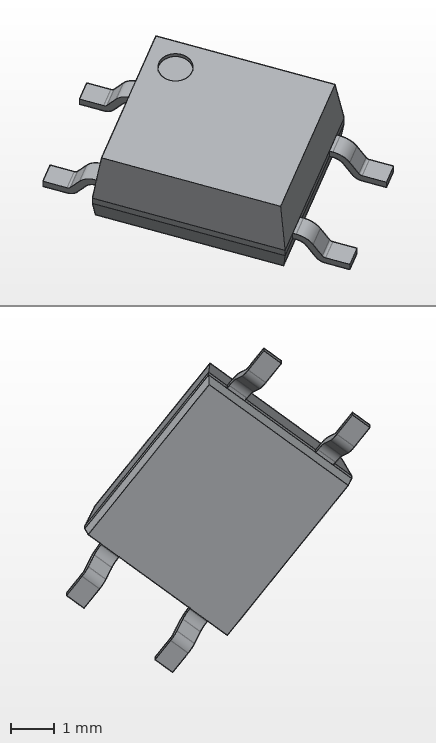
import cadquery as cq
import math

total_length = 7.4
total_height = 2.1
body_length = 4.65
body_width = 4.1
draft_angle = 7.0
standoff = 0.11

lead_thickness = 0.19
lead_width = 0.5
lead_pitch = 2.54
lead_top = 0.76
foot_length = 0.585
lower_inner_radius = 0.095
upper_inner_radius = 0.3
bend_angle = math.radians(55.0)

band_bottom = lead_top - lead_thickness

mark_diameter = 0.8
mark_depth = 0.1
mark_x = -1.435
mark_y = 1.16


def tapered_block(start_z, height):
    """Block on the body outline that narrows away from start_z; a negative height goes down."""
    return (
        cq.Workplane("XY", origin=(0, 0, start_z))
        .rect(body_length, body_width)
        .extrude(height, taper=draft_angle)
    )


def make_cover():
    """Upper half of the body, with the shallow round mark."""
    mark = (
        cq.Workplane("XY", origin=(mark_x, mark_y, total_height - mark_depth))
        .circle(mark_diameter / 2)
        .extrude(mark_depth)
    )
    return tapered_block(lead_top, total_height - lead_top).cut(mark)


def make_band():
    """Straight-sided plate between the cover and the base."""
    return (
        cq.Workplane("XY", origin=(0, 0, band_bottom))
        .rect(body_length, body_width)
        .extrude(lead_thickness)
    )


def make_base():
    """Lower half of the body."""
    return tapered_block(band_bottom, standoff - band_bottom)


def make_left_lead(y):
    """Gull-wing lead on the -X side: a strip swept along its centre line."""
    tip_x = -total_length / 2
    foot_z = lead_thickness / 2
    shoulder_z = lead_top - lead_thickness / 2
    lower_radius = lower_inner_radius + lead_thickness / 2
    upper_radius = upper_inner_radius + lead_thickness / 2

    def lower_bend(angle):
        return (
            tip_x + foot_length + lower_radius * math.sin(angle),
            foot_z + lower_radius * (1 - math.cos(angle)),
        )

    slope_start_x, slope_start_z = lower_bend(bend_angle)
    slope_end_z = shoulder_z - upper_radius * (1 - math.cos(bend_angle))
    slope_end_x = slope_start_x + (slope_end_z - slope_start_z) / math.tan(bend_angle)
    shoulder_x = slope_end_x + upper_radius * math.sin(bend_angle)

    def upper_bend(angle):
        return (
            shoulder_x - upper_radius * math.sin(angle),
            shoulder_z - upper_radius * (1 - math.cos(angle)),
        )

    centre_line = (
        cq.Workplane("XZ", origin=(0, y, 0))
        .moveTo(tip_x, foot_z)
        .lineTo(tip_x + foot_length, foot_z)
        .threePointArc(lower_bend(bend_angle / 2), lower_bend(bend_angle))
        .lineTo(slope_end_x, slope_end_z)
        .threePointArc(upper_bend(bend_angle / 2), (shoulder_x, shoulder_z))
        .lineTo(-body_length / 2, shoulder_z)
    )
    return (
        cq.Workplane("YZ", origin=(tip_x, y, foot_z))
        .rect(lead_width, lead_thickness)
        .sweep(centre_line)
    )


cover = make_cover()
band = make_band()
base = make_base()

leads = []
for lead_y in (-lead_pitch / 2, lead_pitch / 2):
    left_lead = make_left_lead(lead_y)
    leads.append(left_lead.val())
    leads.append(left_lead.mirror("YZ").val())

result = cq.Compound.makeCompound([cover.val(), band.val(), base.val(), *leads])